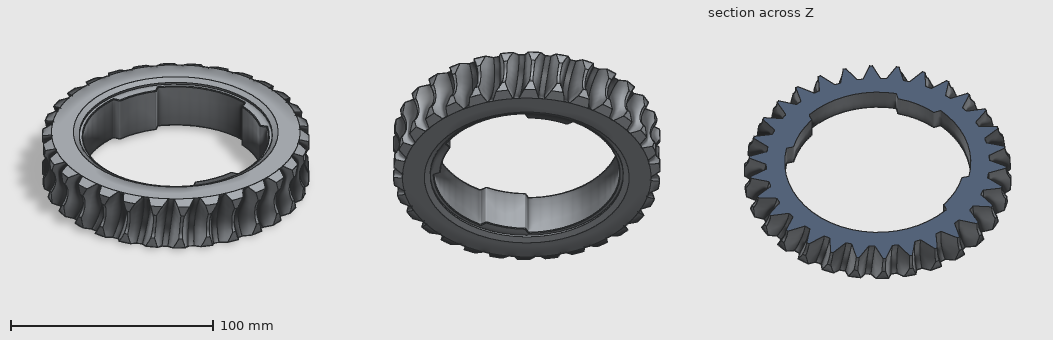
import cadquery as cq
import math

tooth_count = 30
outer_radius = 66.0
width = 28.0
half_width = width / 2
rim_chamfer_radial = 4.5
rim_chamfer_axial = 2.0
face_radius = outer_radius - rim_chamfer_radial

throat_bottom_radius = 63.6
throat_radius = 10.7
worm_offset = throat_bottom_radius + throat_radius
gap_root_radius = math.hypot(worm_offset - face_radius, half_width)
gap_root_half_width = 1.5
throat_gap_half_width = 6.1
lead_angle = 6.7

mouth_radius = 50.7
recess_radius = 47.8
mouth_chamfer_axial = 1.5
ledge_depth = 2.5
bore_radius = 46.0
bore_chamfer = 0.4
selection_margin = 0.1

lug_angles = (0, 90, 180)
lug_radius = 42.8
lug_tip_half_width = 10.0
lug_base_half_width = 12.3
lug_corner_radius = 0.7


def polar(radius, degrees):
    angle = math.radians(degrees)
    return (radius * math.cos(angle), radius * math.sin(angle))


def make_blank():
    """Solid disc with chamfered rims and the concave throat around its edge."""
    rim_z = half_width - rim_chamfer_axial
    throat_z = math.sqrt(throat_radius**2 - (worm_offset - outer_radius) ** 2)
    return (
        cq.Workplane("XZ")
        .moveTo(0, -half_width)
        .lineTo(face_radius, -half_width)
        .lineTo(outer_radius, -rim_z)
        .lineTo(outer_radius, -throat_z)
        .threePointArc((throat_bottom_radius, 0), (outer_radius, throat_z))
        .lineTo(outer_radius, rim_z)
        .lineTo(face_radius, half_width)
        .lineTo(0, half_width)
        .close()
        .revolve(360, (0, 0, 0), (0, 1, 0))
    )


def make_gap_cutter():
    """Wedge-edged ring that cuts the gap at -Y; its axis leans by the lead angle."""
    flank_slope = (throat_gap_half_width - gap_root_half_width) / (gap_root_radius - throat_radius)
    inner_radius = throat_radius / 2
    inner_half_width = gap_root_half_width + flank_slope * (gap_root_radius - inner_radius)
    worm_y = -worm_offset
    return (
        cq.Workplane("XY")
        .polyline([
            (-inner_half_width, worm_y - inner_radius),
            (inner_half_width, worm_y - inner_radius),
            (gap_root_half_width, worm_y - gap_root_radius),
            (-gap_root_half_width, worm_y - gap_root_radius),
        ])
        .close()
        .revolve(360, (0, worm_y, 0), (1, worm_y, 0))
        .rotate((0, 0, 0), (0, 1, 0), lead_angle)
    )


def make_mouth():
    """Recess at the top end of the bore, with a flared entry."""
    recess_z = half_width - mouth_chamfer_axial
    ledge_z = half_width - ledge_depth
    return (
        cq.Workplane("XZ")
        .moveTo(0, ledge_z)
        .lineTo(recess_radius, ledge_z)
        .lineTo(recess_radius, recess_z)
        .lineTo(mouth_radius, half_width)
        .lineTo(0, half_width)
        .close()
        .revolve(360, (0, 0, 0), (0, 1, 0))
    )


def bore_outline(plane_z):
    """Bore circle interrupted by the lugs, drawn counterclockwise at height plane_z."""
    tip_angle = math.degrees(math.asin(lug_tip_half_width / lug_radius))
    base_angle = math.degrees(math.asin(lug_base_half_width / bore_radius))
    outline = cq.Workplane("XY", origin=(0, 0, plane_z))
    outline = outline.moveTo(*polar(bore_radius, lug_angles[0] - base_angle))
    next_lugs = lug_angles[1:] + (lug_angles[0] + 360,)
    for lug, next_lug in zip(lug_angles, next_lugs):
        outline = outline.lineTo(*polar(lug_radius, lug - tip_angle))
        outline = outline.threePointArc(polar(lug_radius, lug), polar(lug_radius, lug + tip_angle))
        outline = outline.lineTo(*polar(bore_radius, lug + base_angle))
        outline = outline.threePointArc(
            polar(bore_radius, (lug + next_lug) / 2),
            polar(bore_radius, next_lug - base_angle),
        )
    return outline.close()


def make_bore():
    """Lugged bore between the two ledges, with rounded lug corners."""
    ledge_z = half_width - ledge_depth
    return (
        bore_outline(-ledge_z)
        .extrude(2 * ledge_z)
        .edges("|Z")
        .fillet(lug_corner_radius)
    )


def chamfer_bore(ring, ledge_z):
    """Break the bore edge on the ledge at height ledge_z; the larger recess circle stays sharp."""
    reach = (bore_radius + recess_radius) / 2
    ledge_edges = cq.selectors.BoxSelector(
        (-reach, -reach, ledge_z - selection_margin),
        (reach, reach, ledge_z + selection_margin),
        boundingbox=True,
    )
    return ring.edges(ledge_edges).chamfer(bore_chamfer)


mouth = make_mouth()
wheel = make_blank().cut(make_bore()).cut(mouth).cut(mouth.mirror("XY"))
wheel = chamfer_bore(wheel, half_width - ledge_depth)
wheel = chamfer_bore(wheel, ledge_depth - half_width)

gap_cutter = make_gap_cutter()
for index in range(tooth_count):
    wheel = wheel.cut(gap_cutter.rotate((0, 0, 0), (0, 0, 1), index * 360 / tooth_count))

result = wheel